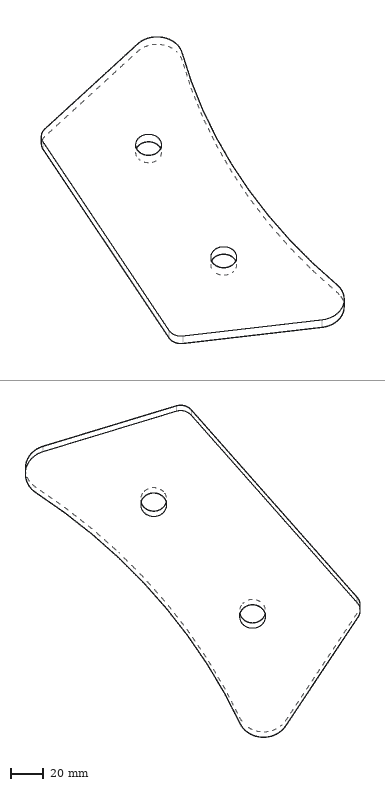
import cadquery as cq
import math

length = 244.5
width = 109.7
thickness = 8.0

ear_radius = 16.1
corner_radius = 8.5
bottom_flat_length = 165.7
waist_width = 95.3

hole_diameter = 16.1
hole_spacing = 98.7
hole_height = 57.0

ear_x = length / 2 - ear_radius
ear_y = width - ear_radius
corner_x = bottom_flat_length / 2
corner_y = corner_radius

ear_rise = waist_width - ear_y
concave_radius = (ear_x**2 + ear_rise**2 - ear_radius**2) / (2 * (ear_radius - ear_rise))
concave_center_y = waist_width + concave_radius
ear_end_angle = math.atan2(concave_center_y - ear_y, -ear_x)

center_distance = math.hypot(ear_x - corner_x, ear_y - corner_y)
center_angle = math.atan2(ear_y - corner_y, ear_x - corner_x)
side_angle = center_angle - math.acos((corner_radius - ear_radius) / center_distance)


def on_arc(center_x, center_y, radius, angle):
    """Point on a circle at the given angle."""
    return (center_x + radius * math.cos(angle), center_y + radius * math.sin(angle))


def mirrored(point):
    """Matching point on the left half."""
    return (-point[0], point[1])


corner_start = (corner_x, 0)
corner_middle = on_arc(corner_x, corner_y, corner_radius, (side_angle - math.pi / 2) / 2)
corner_end = on_arc(corner_x, corner_y, corner_radius, side_angle)
ear_start = on_arc(ear_x, ear_y, ear_radius, side_angle)
ear_middle = on_arc(ear_x, ear_y, ear_radius, (side_angle + ear_end_angle) / 2)
ear_end = on_arc(ear_x, ear_y, ear_radius, ear_end_angle)

plate = (
    cq.Workplane("XY")
    .moveTo(*mirrored(corner_start))
    .lineTo(*corner_start)
    .threePointArc(corner_middle, corner_end)
    .lineTo(*ear_start)
    .threePointArc(ear_middle, ear_end)
    .threePointArc((0, waist_width), mirrored(ear_end))
    .threePointArc(mirrored(ear_middle), mirrored(ear_start))
    .lineTo(*mirrored(corner_end))
    .threePointArc(mirrored(corner_middle), mirrored(corner_start))
    .close()
    .extrude(thickness)
)

holes = (
    cq.Workplane("XY")
    .pushPoints([(-hole_spacing / 2, hole_height), (hole_spacing / 2, hole_height)])
    .circle(hole_diameter / 2)
    .extrude(thickness)
)

result = plate.cut(holes)